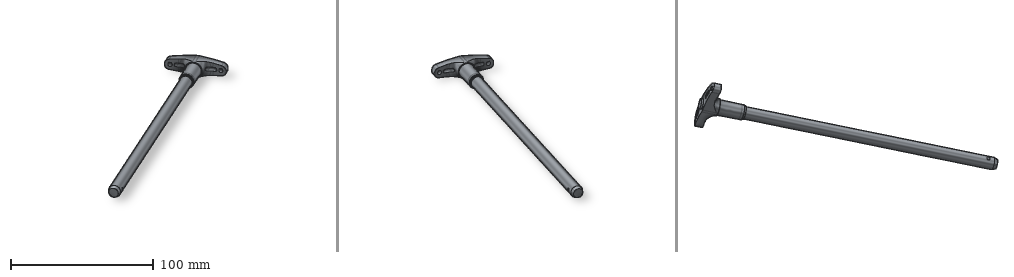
import cadquery as cq
import math

total_length = 218.5

handle_length = 45.2
handle_half_height = 6.3
ridge_half_width = 1.0
end_width = 8.0
crown_y = -1.5
crown_half_width = 8.7
bow_mid_x = 15.7
bow_mid_y = -2.08
end_top_y = -3.3
shoulder_y = -7.6
shoulder_x = 12.7
end_bottom_y = -8.7
end_edge_fillet = 0.7
hole_x = 18.5
hole_diameter = 3.0
slot_inner_x = 7.5
slot_outer_x = 15.5
slot_width = 2.8

button_radius = 3.7
collar_radius = handle_half_height
flare_radius = 5.0
collar_end_y = -13.0
sleeve_radius = 5.7
sleeve_small_radius = 5.5
sleeve_band_y = -29.3
sleeve_end_y = -31.2
ring_radius = 5.0
ring_end_y = -32.5
shank_diameter = 9.0
tip_start_y = -215.8
tip_radius = 3.5

ball_radius = 1.5
ball_y = -211.2
ball_reach = 5.0

end_radius = end_width / 2
shank_radius = shank_diameter / 2
flare_outer_x = collar_radius + flare_radius
flare_end_y = shoulder_y - flare_radius
handle_half_length = handle_length / 2
end_centre_x = handle_half_length - end_radius


def cylinder(radius, y_start, y_end):
    """Cylinder about the Y axis, running in the -Y direction."""
    start_plane = cq.Plane((0, y_start, 0), (1, 0, 0), (0, -1, 0))
    return cq.Workplane(start_plane).circle(radius).extrude(y_start - y_end)


def handle_outline():
    """Tapered plan with round ends, extruded through the full handle and collar depth."""
    run = end_centre_x - ridge_half_width
    chord_angle = math.atan2(handle_half_height, run)
    taper_angle = chord_angle - math.asin(end_radius / math.hypot(run, handle_half_height))
    x = end_centre_x + end_radius * math.sin(taper_angle)
    z = end_radius * math.cos(taper_angle)
    return (
        cq.Workplane("XZ")
        .moveTo(-ridge_half_width, handle_half_height)
        .lineTo(ridge_half_width, handle_half_height)
        .lineTo(x, z)
        .threePointArc((handle_half_length, 0), (x, -z))
        .lineTo(ridge_half_width, -handle_half_height)
        .lineTo(-ridge_half_width, -handle_half_height)
        .lineTo(-x, -z)
        .threePointArc((-handle_half_length, 0), (-x, z))
        .close()
        .extrude(-collar_end_y)
    )


def handle_bow():
    """Bowed grip: arched back and slightly drooping ends, taller in Z than the outline that trims it."""
    return (
        cq.Workplane("XY")
        .workplane(offset=-handle_half_length)
        .moveTo(-crown_half_width, crown_y)
        .lineTo(crown_half_width, crown_y)
        .threePointArc((bow_mid_x, bow_mid_y), (handle_half_length, end_top_y))
        .lineTo(handle_half_length, end_bottom_y)
        .lineTo(shoulder_x, shoulder_y)
        .lineTo(-shoulder_x, shoulder_y)
        .lineTo(-handle_half_length, end_bottom_y)
        .lineTo(-handle_half_length, end_top_y)
        .threePointArc((-bow_mid_x, bow_mid_y), (-crown_half_width, crown_y))
        .close()
        .extrude(handle_length)
        .faces("<X or >X")
        .edges("|Z")
        .fillet(end_edge_fillet)
    )


def handle_flare():
    """Concave turned flare blending the grip into the collar."""
    arc_inset = flare_radius * (1 - math.sqrt(0.5))
    return (
        cq.Workplane("XY")
        .moveTo(0, shoulder_y)
        .lineTo(flare_outer_x, shoulder_y)
        .threePointArc(
            (collar_radius + arc_inset, shoulder_y - arc_inset),
            (collar_radius, flare_end_y),
        )
        .lineTo(0, flare_end_y)
        .close()
        .revolve(360, (0, 0), (0, 1))
    )


def handle_openings():
    """Round lanyard hole and finger slot in each arm, cut right through."""
    slot_length = slot_outer_x - slot_inner_x
    slot_x = (slot_outer_x + slot_inner_x) / 2
    cutting_depth = -collar_end_y
    holes = (
        cq.Workplane("XZ")
        .pushPoints([(-hole_x, 0), (hole_x, 0)])
        .circle(hole_diameter / 2)
        .extrude(cutting_depth)
    )
    slots = (
        cq.Workplane("XZ")
        .pushPoints([(-slot_x, 0), (slot_x, 0)])
        .slot2D(slot_length, slot_width)
        .extrude(cutting_depth)
    )
    return holes.union(slots)


def handle():
    grip = handle_bow().union(handle_flare()).intersect(handle_outline())
    return grip.cut(handle_openings())


def sleeve():
    """Slightly tapered sleeve ending in a straight band."""
    return (
        cq.Workplane("XY")
        .moveTo(0, collar_end_y)
        .lineTo(sleeve_radius, collar_end_y)
        .lineTo(sleeve_small_radius, sleeve_band_y)
        .lineTo(sleeve_small_radius, sleeve_end_y)
        .lineTo(0, sleeve_end_y)
        .close()
        .revolve(360, (0, 0), (0, 1))
    )


def tapered_tip():
    """Conical lead-in at the end of the shank."""
    return (
        cq.Workplane("XY")
        .moveTo(0, tip_start_y)
        .lineTo(shank_radius, tip_start_y)
        .lineTo(tip_radius, -total_length)
        .lineTo(0, -total_length)
        .close()
        .revolve(360, (0, 0), (0, 1))
    )


def locking_balls():
    """Pair of balls standing proud of the shank on the X sides."""
    ball_x = ball_reach - ball_radius
    return (
        cq.Workplane("XY")
        .pushPoints([(-ball_x, ball_y), (ball_x, ball_y)])
        .sphere(ball_radius)
    )


button = cylinder(button_radius, 0, shoulder_y)
collar = cylinder(collar_radius, shoulder_y, collar_end_y)
ring = cylinder(ring_radius, sleeve_end_y, ring_end_y)
shank = cylinder(shank_radius, ring_end_y, tip_start_y)

result = handle()
for piece in (button, collar, sleeve(), ring, shank, tapered_tip(), locking_balls()):
    result = result.union(piece)